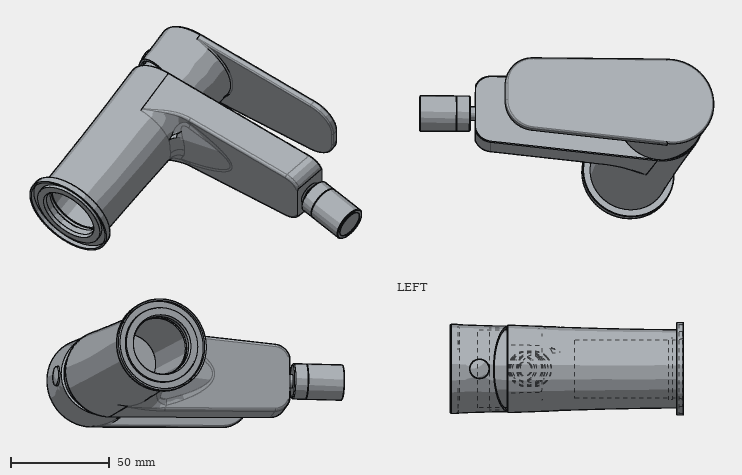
import cadquery as cq
import math


pick_margin = 0.5
wide = 60.0
join_overlap = 1.0

ring_dia = 46.86
ring_height = 3.5
ring_recess_dia = 45.0
ring_recess_depth = 2.3
ring_edge_chamfer = 0.3

column_foot_radius = 19.8
column_mid_radius = 20.75
column_top_radius = 22.2
column_mid_height = 52.0
column_top = 89.0
column_edge_chamfer = 0.5
tenon_dia = 38.0
tenon_foot = 0.5
inlet_dia = 30.7
inlet_countersink_depth = 1.7
bore_dia = 29.4
bore_groove_dia = 31.0
bore_groove_start = 5.5
bore_groove_end = 7.5
bore_top = 55.0

spout_bottom = 71.5
spout_end_at_top = 94.7
spout_tilt = 10.0
flank_angle = 3.0
flank_draft = 2.0
spout_corner_start = 87.0
spout_corner_radius = 8.8
spout_edge_fillet = 1.5
web_radius = 10.5
web_column_radius = 21.0

swell_radius = 29.0
swell_slope = 10.8
swell_tip = 51.0
swell_half_width = 19.0
swell_fillet = 6.0

neck_dia = 39.2
neck_top = 104.0
neck_gap_dia = 41.4
neck_gap_top = 98.0

handle_top = 117.86
handle_top_radius = 22.6
handle_bottom_radius = 21.7
handle_edge_fillet = 0.8
heel_angle = 20.0
heel_start = -2.8
lever_thickness = 3.9
lever_end = 84.3
lever_corner_radius = 14.5
lever_edge_fillet = 0.7
lever_root_fillet = 0.8

button_height = 103.0
button_dia = 9.5
button_hole_dia = 10.0
button_front = ring_dia / 2
button_dome_radius = 13.0
button_floor = 20.5

aerator_dia = 18.0
stem_dia = 7.0
socket_dia = 12.4
socket_depth = 6.0
collar_start = 2.5
collar_length = 7.0
aerator_length = 18.56
collar_chamfer = 0.6
joint_chamfer = 0.2
outlet_dia = 14.2
outlet_depth = 0.3
outlet_chamfer = 0.4


def cylinder(dia, start, end):
    """Cylinder about the Y axis from height start to height end."""
    return cq.Workplane("XZ", origin=(0, start, 0)).circle(dia / 2).extrude(start - end)


def edge_zone(x_range, y_range, z_range):
    """Selector of the edges whose centres lie inside a box."""
    return cq.selectors.BoxSelector(*zip(x_range, y_range, z_range))


def tan_deg(angle):
    return math.tan(math.radians(angle))


def make_ring():
    ring = cylinder(ring_dia, 0, ring_height).faces(">Y").edges().chamfer(ring_edge_chamfer)
    ring = ring.cut(cylinder(ring_recess_dia, 0, ring_recess_depth))
    return ring.cut(cylinder(tenon_dia, 0, ring_height))


def make_column():
    column = (
        cq.Workplane("XY")
        .moveTo(0, ring_height)
        .lineTo(column_foot_radius, ring_height)
        .threePointArc((column_mid_radius, column_mid_height), (column_top_radius, column_top))
        .lineTo(0, column_top)
        .close()
        .revolve(360, (0, 0), (0, 1))
    )
    column = column.faces(">Y").edges().chamfer(column_edge_chamfer)
    return column.union(cylinder(tenon_dia, tenon_foot, ring_height))


def make_bore():
    """Blind bore of the column, with a countersunk mouth and an inner groove."""
    mouth = (
        cq.Workplane("XZ", origin=(0, tenon_foot, 0))
        .circle(inlet_dia / 2)
        .workplane(offset=-inlet_countersink_depth)
        .circle(bore_dia / 2)
        .loft()
    )
    groove = cylinder(bore_groove_dia, bore_groove_start, bore_groove_end)
    return cylinder(bore_dia, tenon_foot, bore_top).union(mouth).union(groove)


def wedge_plan(radius, length):
    """Plan outline tangent to a circle of the radius, narrowing along +X by the flank angle."""
    angle = math.radians(flank_angle)
    start_x = radius * math.sin(angle)
    start_z = radius * math.cos(angle)
    end_z = start_z - (length - start_x) * math.tan(angle)
    return [(start_x, start_z), (length, end_z), (length, -end_z), (start_x, -start_z)]


def spout_side(end_at_top):
    """Side outline of the spout, full width, ended by a plane leaning back by the spout tilt."""
    end_at_bottom = end_at_top - (column_top - spout_bottom) * tan_deg(spout_tilt)
    return (
        cq.Workplane("XY")
        .polyline([
            (0, column_top),
            (end_at_top, column_top),
            (end_at_bottom, spout_bottom),
            (0, spout_bottom),
        ])
        .close()
        .extrude(ring_dia / 2, both=True)
    )


def make_web():
    """Concave ring that sweeps from the column wall out to the underside of the spout."""
    outer_radius = web_column_radius + web_radius
    arc_offset = web_radius * math.sqrt(0.5)
    foot = spout_bottom - web_radius
    return (
        cq.Workplane("XY")
        .moveTo(0, foot)
        .lineTo(web_column_radius, foot)
        .threePointArc((outer_radius - arc_offset, foot + arc_offset), (outer_radius, spout_bottom))
        .lineTo(outer_radius, spout_bottom + join_overlap)
        .lineTo(0, spout_bottom + join_overlap)
        .close()
        .revolve(360, (0, 0), (0, 1))
    )


def make_swell():
    """Round swelling under the spout: a sloping cylinder that dies out at its tip."""
    length = 2 * swell_tip
    slope = math.radians(swell_slope)
    normal = (-math.cos(slope), -math.sin(slope), 0)
    axis_x = swell_tip - swell_radius * math.sin(slope)
    axis_y = spout_bottom + swell_radius * math.cos(slope)
    rod = (
        cq.Workplane(cq.Plane((axis_x, axis_y, 0), (0, 0, 1), normal))
        .circle(swell_radius)
        .extrude(length)
    )
    foot = spout_bottom - 2 * web_radius
    limits = cq.Workplane("XY").box(
        swell_tip,
        spout_bottom + join_overlap - foot,
        2 * swell_half_width,
        centered=(False, False, True),
    )
    return rod.intersect(limits.translate((0, foot, 0)))


def make_spout():
    corner_tip = spout_corner_start + spout_corner_radius * tan_deg((90 - flank_angle) / 2)
    blank = (
        cq.Workplane("XZ", origin=(0, column_top, 0))
        .polyline(wedge_plan(column_top_radius, 2 * corner_tip - spout_end_at_top))
        .close()
        .extrude(column_top - spout_bottom + web_radius, taper=flank_draft)
    )
    spout = blank.intersect(spout_side(corner_tip))
    end_corners = edge_zone(
        (spout_corner_start, 2 * corner_tip),
        (spout_bottom + pick_margin, column_top - pick_margin),
        (-wide, wide),
    )
    spout = spout.edges(end_corners).fillet(spout_corner_radius)
    spout = spout.intersect(spout_side(spout_end_at_top))
    spout = spout.union(blank.intersect(make_web()))
    for side in (-1, 1):
        lower_edges = edge_zone(
            (web_radius / 2, spout_end_at_top),
            (spout_bottom - web_radius / 2, spout_bottom + pick_margin),
            sorted((side * column_top_radius / 2, side * wide)),
        )
        spout = spout.edges(lower_edges).fillet(spout_edge_fillet)
    top_edges = edge_zone(
        (column_top_radius, spout_end_at_top - pick_margin),
        (column_top - pick_margin, column_top + pick_margin),
        (-wide, wide),
    )
    return spout.edges(top_edges).chamfer(column_edge_chamfer)


def spout_cylinder(dia, start, end):
    """Cylinder about the aerator axis, between two distances from the spout end face."""
    mid_height = (column_top + spout_bottom) / 2
    mid_x = spout_end_at_top - (column_top - mid_height) * tan_deg(spout_tilt)
    tilt = math.radians(spout_tilt)
    axis = (math.cos(tilt), -math.sin(tilt), 0)
    plane = cq.Plane((mid_x, mid_height, 0), (0, 0, 1), axis)
    return cq.Workplane(plane).workplane(offset=start).circle(dia / 2).extrude(end - start)


def make_body():
    body = make_column().union(make_spout()).union(make_swell())
    around_swell = edge_zone(
        (web_column_radius + pick_margin, swell_tip),
        (spout_bottom - web_radius / 2, spout_bottom + pick_margin),
        (-swell_half_width / 2, swell_half_width / 2),
    )
    body = body.edges(around_swell).fillet(swell_fillet)
    body = body.cut(make_bore())
    return body.cut(spout_cylinder(socket_dia, -socket_depth, 0))


def make_ball_joint():
    return spout_cylinder(socket_dia, -socket_depth, 0).union(spout_cylinder(stem_dia, 0, collar_start))


def make_collar():
    collar = spout_cylinder(aerator_dia, collar_start, collar_start + collar_length)
    collar = collar.faces("<X").edges().chamfer(collar_chamfer)
    return collar.faces(">X").edges().chamfer(joint_chamfer)


def make_aerator():
    start = collar_start + collar_length
    end = start + aerator_length
    aerator = spout_cylinder(aerator_dia, start, end)
    aerator = aerator.faces("<X").edges().chamfer(joint_chamfer)
    aerator = aerator.faces(">X").edges().chamfer(outlet_chamfer)
    return aerator.cut(spout_cylinder(outlet_dia, end - outlet_depth, end))


def make_neck():
    return cylinder(neck_dia, column_top, neck_top)


def make_lever():
    lever = (
        cq.Workplane("XZ", origin=(0, handle_top, 0))
        .polyline(wedge_plan(handle_top_radius, lever_end))
        .close()
        .extrude(lever_thickness)
    )
    lever = lever.edges("|Y and >X").fillet(lever_corner_radius)
    lever = lever.faces("<Y").edges().fillet(lever_edge_fillet)
    return lever.faces(">Y").edges().fillet(handle_edge_fillet)


def make_handle():
    handle = (
        cq.Workplane("XY")
        .polyline([
            (0, column_top),
            (handle_bottom_radius, column_top),
            (handle_top_radius, handle_top),
            (0, handle_top),
        ])
        .close()
        .revolve(360, (0, 0), (0, 1))
    )
    handle = handle.faces(">Y").edges().fillet(handle_edge_fillet).union(make_lever())
    lever_bottom = handle_top - lever_thickness
    under_lever = edge_zone(
        (handle_top_radius / 2, handle_top_radius),
        (lever_bottom - pick_margin, lever_bottom + lever_edge_fillet / 2),
        (-handle_top_radius, handle_top_radius),
    )
    handle = handle.edges(under_lever).fillet(lever_root_fillet)
    heel_end = heel_start - ring_dia
    heel = (
        cq.Workplane("XY")
        .polyline([
            (heel_start, column_top),
            (heel_end, column_top),
            (heel_end, column_top + ring_dia * tan_deg(heel_angle)),
        ])
        .close()
        .extrude(ring_dia, both=True)
    )
    neck_gap = cylinder(neck_gap_dia, column_top, neck_gap_top)
    return handle.cut(heel).cut(neck_gap).cut(make_neck()).cut(button_blank(button_hole_dia))


def button_blank(dia):
    """Cylinder lying along X at the back of the handle."""
    plane = cq.Workplane("YZ", origin=(-button_front, button_height, 0))
    return plane.circle(dia / 2).extrude(button_front - button_floor)


def make_button():
    dome_center = (button_dome_radius - button_front, button_height, 0)
    dome = cq.Workplane("XY", origin=dome_center).sphere(button_dome_radius)
    return button_blank(button_dia).intersect(dome)


result = cq.Compound.makeCompound([
    make_ring().val(),
    make_body().val(),
    make_neck().val(),
    make_handle().val(),
    make_button().val(),
    make_ball_joint().val(),
    make_collar().val(),
    make_aerator().val(),
])